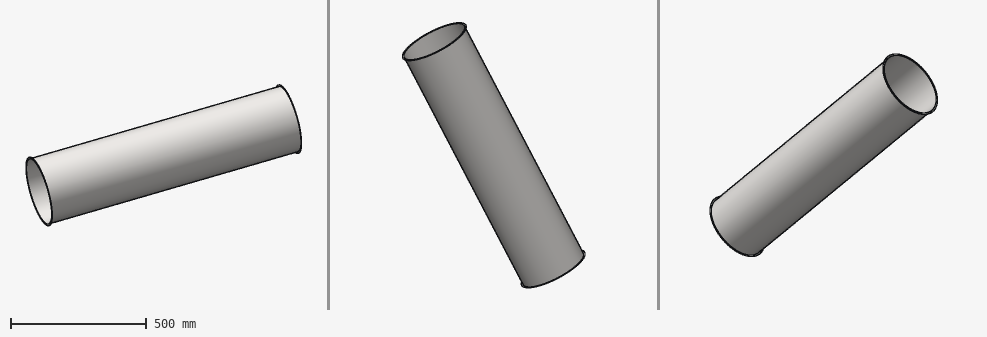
import cadquery as cq

length = 988.0
bore_diameter = 249.0
tube_diameter = 251.0
flange_diameter = 263.0

wall = (tube_diameter - bore_diameter) / 2


def ring(outer_diameter, start_y, width):
    """Ring around the Y axis, open through the bore, from start_y towards +Y."""
    return (
        cq.Workplane("XZ", origin=(0, start_y, 0))
        .circle(outer_diameter / 2)
        .circle(bore_diameter / 2)
        .extrude(-width)
    )


result = ring(tube_diameter, -length / 2, length)

for flange_start in (-length / 2, length / 2 - wall):
    result = result.union(ring(flange_diameter, flange_start, wall))